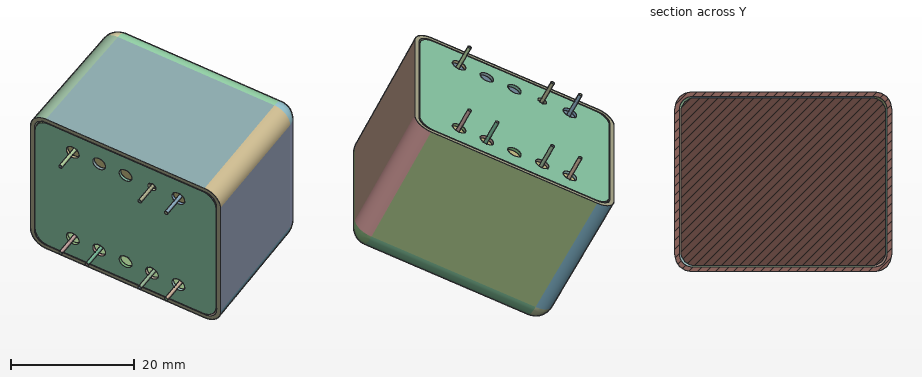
import cadquery as cq
import math

width = 36.0
height = 30.0
case_depth = 25.0
draft_angle = 0.5
outer_radius = 3.0
wall = 0.75
inner_radius = outer_radius - wall

side_gap = 0.15
insert_corner_radius = 2.52

plate_thickness = 0.5
hole_diameter = 2.4
key_hole_diameter = 1.5

core_setback = 4.4
pin_diameter = 0.6
pin_reach = 3.8

pin_pitch = 5.0
row_spacing = 20.0
top_z = row_spacing / 2
bottom_z = -row_spacing / 2
columns = range(-2, 3)
hole_places = [(column * pin_pitch, z) for z in (top_z, bottom_z) for column in columns]
key_place = (pin_pitch, top_z)
unpinned_places = [(-pin_pitch, top_z), (0, top_z), (0, bottom_z)]
pin_places = [place for place in hole_places if place not in unpinned_places]

rim_y = -(case_depth - pin_reach) / 2
pin_tip_y = rim_y - pin_reach
case_end_y = rim_y + case_depth
cavity_end_y = case_end_y - wall
core_y = rim_y + core_setback


def plane_at(y):
    """Plane across the part at y: local X is +X, local Y is +Z, and the normal is -Y."""
    return cq.Workplane("XZ", origin=(0, y, 0))


def tapered_block(start_y, end_y, inset, corner_radius, end_radius):
    """Block that follows the case walls at an inset, its long edges and its far end rounded."""
    taper_shift = (start_y - rim_y) * math.tan(math.radians(draft_angle))
    side_inset = inset + taper_shift
    return (
        plane_at(start_y)
        .rect(width - 2 * side_inset, height - 2 * side_inset)
        .extrude(start_y - end_y, taper=draft_angle)
        .edges("not #Y")
        .fillet(corner_radius)
        .faces(">Y")
        .edges()
        .fillet(end_radius)
    )


def make_case():
    shell = tapered_block(rim_y, case_end_y, 0, outer_radius, outer_radius)
    cavity = tapered_block(rim_y, cavity_end_y, wall, inner_radius, inner_radius)
    return shell.cut(cavity)


def make_plate():
    """Flat cover with a clearance hole at every place; the key hole is smaller."""
    inset = wall + side_gap
    plate = (
        plane_at(rim_y)
        .rect(width - 2 * inset, height - 2 * inset)
        .extrude(-plate_thickness)
        .edges("|Y")
        .fillet(insert_corner_radius)
    )
    for place in hole_places:
        diameter = key_hole_diameter if place == key_place else hole_diameter
        hole = plane_at(rim_y).center(*place).circle(diameter / 2).extrude(-plate_thickness)
        plate = plate.cut(hole)
    return plate


def make_core():
    """Block resting on the closed end of the case, in one piece with its pins."""
    block = tapered_block(core_y, cavity_end_y, wall + side_gap, insert_corner_radius, inner_radius)
    pins = (
        plane_at(core_y)
        .pushPoints(pin_places)
        .circle(pin_diameter / 2)
        .extrude(core_y - pin_tip_y)
    )
    return block.union(pins)


case = make_case()
plate = make_plate()
core = make_core()

bodies = [case, plate, core]
result = cq.Compound.makeCompound([body.solids().val() for body in bodies])